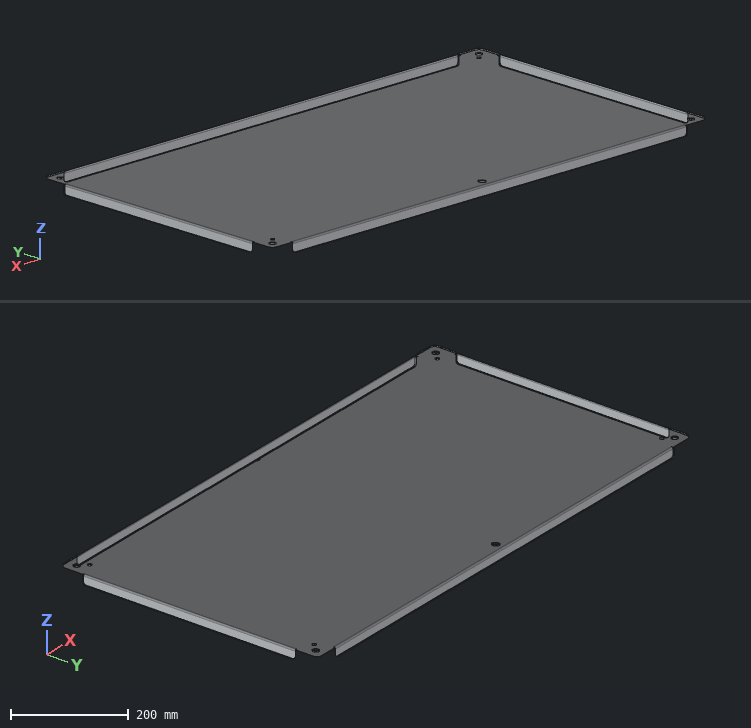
import cadquery as cq

length = 1040.0
width = 557.0
height = 22.0
thickness = 3.0
bend_radius = 6.0
edge_inset = 2.0
plate_corner_radius = 10.0
flange_end_gap = 51.0
flange_corner_radius = 5.0

mount_hole_diameter = 12.0
mount_hole_inset = 22.0
pilot_hole_diameter = 7.2
pilot_hole_inset = 37.0
slot_length = 15.0
slot_width = mount_hole_diameter
slot_inset = 21.0

top = height / 2
bottom = -height / 2


def corner_points(inset):
    """Four symmetric points at the given distance from the outer sides."""
    x = length / 2 - inset
    y = width / 2 - inset
    return [(x, y), (-x, y), (-x, -y), (x, -y)]


def make_plate():
    """Flat sheet, cut back along each side where a flange bends down."""
    plate = (
        cq.Workplane("XY")
        .workplane(offset=top - thickness)
        .rect(length - 2 * edge_inset, width - 2 * edge_inset)
        .extrude(thickness)
        .edges("|Z")
        .fillet(plate_corner_radius)
    )
    end_notches = (
        cq.Workplane("XY")
        .workplane(offset=top - thickness)
        .pushPoints([(-length / 2, 0), (length / 2, 0)])
        .rect(2 * bend_radius, width - 2 * flange_end_gap)
        .extrude(thickness)
    )
    side_notches = (
        cq.Workplane("XY")
        .workplane(offset=top - thickness)
        .pushPoints([(0, -width / 2), (0, width / 2)])
        .rect(length - 2 * flange_end_gap, 2 * bend_radius)
        .extrude(thickness)
    )
    return plate.cut(end_notches).cut(side_notches)


def make_flange(outer_distance, flange_length):
    """Bend and downturned flange on the +X side, centred along Y."""
    inner_radius = bend_radius - thickness
    bend_x = outer_distance - bend_radius
    bend_z = top - bend_radius
    flange = (
        cq.Workplane("XZ")
        .moveTo(bend_x, top)
        .radiusArc((outer_distance, bend_z), bend_radius)
        .lineTo(outer_distance, bottom)
        .lineTo(outer_distance - thickness, bottom)
        .lineTo(outer_distance - thickness, bend_z)
        .radiusArc((bend_x, top - thickness), -inner_radius)
        .close()
        .extrude(flange_length / 2, both=True)
    )
    return flange.edges("|X and <Z").edges("<Y or >Y").fillet(flange_corner_radius)


end_flange = make_flange(length / 2, width - 2 * flange_end_gap)
side_flange = make_flange(width / 2, length - 2 * flange_end_gap)

result = make_plate()
for flange, angle in [(end_flange, 0), (side_flange, 90), (end_flange, 180), (side_flange, 270)]:
    result = result.union(flange.rotate((0, 0, 0), (0, 0, 1), angle))

for diameter, inset in [
    (mount_hole_diameter, mount_hole_inset),
    (pilot_hole_diameter, pilot_hole_inset),
]:
    holes = (
        cq.Workplane("XY")
        .workplane(offset=top - thickness)
        .pushPoints(corner_points(inset))
        .circle(diameter / 2)
        .extrude(thickness)
    )
    result = result.cut(holes)

slot_y = width / 2 - slot_inset
slots = (
    cq.Workplane("XY")
    .workplane(offset=top - thickness)
    .pushPoints([(0, slot_y), (0, -slot_y)])
    .slot2D(slot_length, slot_width, 90)
    .extrude(thickness)
)
result = result.cut(slots)